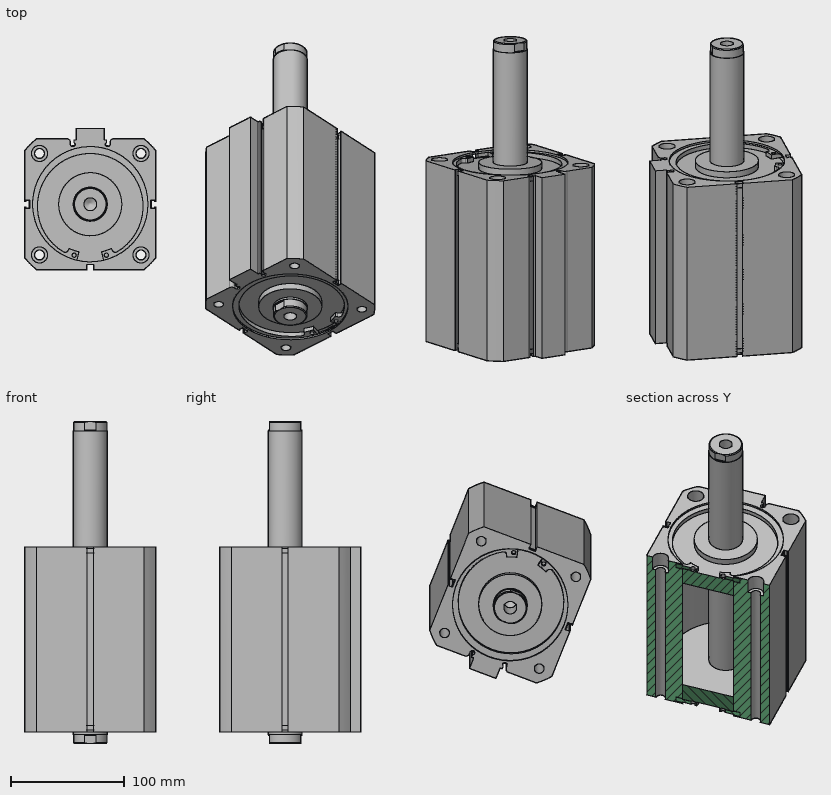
import cadquery as cq
import math


BODY_WIDTH = 115.0
BODY_LENGTH = 162.5
CORNER_RADIUS = 74.3
BORE_RADIUS = 50.5
OVERALL_DEPTH = 124.0
RAIL_HALF_WIDTH = 12.5
RAIL_FOOT_HALF_WIDTH = 14.5
RAIL_FOOT_TOP = 56.5
RAIL_FOOT_BASE = 54.2
RAIL_GROOVE_CENTER_X = 15.3
RAIL_GROOVE_CENTER_Y = 52.5
RAIL_GROOVE_RADIUS = 2.12
GROOVE_LIP_RADIUS = 3.0

SLOT_DEPTH = 4.5
FRONT_SLOT_WIDTH = 6.0
SIDE_SLOT_WIDTH = 6.8
SIDE_SLOT_MOUTH = 5.0
SIDE_SLOT_LIP = 1.0

MOUNT_PITCH = 89.0
MOUNT_HOLE_DIAMETER = 8.5
MOUNT_BORE_DIAMETER = 14.0
MOUNT_BORE_DEPTH = 14.0

RING_RECESS = 1.7
RING_THICKNESS = 4.0
RING_RADIUS = 53.7
RING_INNER_RADIUS = 46.3
RING_INNER_OFFSET = 1.85
RING_GAP_HALF_ANGLE = 13.4
LUG_OUTER_ANGLE = 25.5
LUG_INNER_RADIUS = 43.0
LUG_FILLET = 2.8
LUG_HOLE_ANGLE = 17.5
LUG_HOLE_PITCH_RADIUS = 47.0
LUG_HOLE_DIAMETER = 3.7

COLLAR_BOSS_RADIUS = 27.7
COLLAR_FLANGE_LENGTH = 17.0

ROD_RADIUS = 15.0
ROD_FRONT_REACH = 110.0
ROD_REAR_REACH = 10.2
ROD_CHAMFER = 0.8
ROD_END_RADIUS = 14.7
ROD_END_LENGTH = 8.2
FLAT_DISTANCE = 13.8
FLAT_LENGTH = 7.3
ROD_HOLE_RADIUS = 5.6
ROD_HOLE_DEPTH = 22.5
DRILL_POINT_ANGLE = 118.0

HALF_WIDTH = BODY_WIDTH / 2
HALF_LENGTH = BODY_LENGTH / 2
RAIL_TOP = OVERALL_DEPTH - HALF_WIDTH
SLOT_FLOOR = HALF_WIDTH - SLOT_DEPTH
CORNER_FLAT_END = math.sqrt(CORNER_RADIUS**2 - HALF_WIDTH**2)
CORNER_MID = CORNER_RADIUS * math.cos(math.pi / 4)
RING_TOP = HALF_LENGTH - RING_RECESS
RING_BOTTOM = RING_TOP - RING_THICKNESS


def at_rear(body):
    """Mirror a body from the front (+Z) end to the rear end."""
    return body.mirror("XY")


def polar_from_gap(radius, angle):
    """Point at an angle in degrees from the -Y direction, towards +X."""
    turn = math.radians(angle)
    return (radius * math.sin(turn), -radius * math.cos(turn))


def housing_blank():
    """Square with turned corners, extruded along the full length."""
    w, e, m = HALF_WIDTH, CORNER_FLAT_END, CORNER_MID
    return (
        cq.Workplane("XY", origin=(0, 0, -HALF_LENGTH))
        .moveTo(-e, -w)
        .lineTo(e, -w)
        .threePointArc((m, -m), (w, -e))
        .lineTo(w, e)
        .threePointArc((m, m), (e, w))
        .lineTo(-e, w)
        .threePointArc((-m, m), (-w, e))
        .lineTo(-w, -e)
        .threePointArc((-m, -m), (-e, -w))
        .close()
        .extrude(BODY_LENGTH)
    )


def rail():
    """Rectangular rail standing on the +Y side."""
    height = RAIL_TOP - RAIL_FOOT_BASE
    return cq.Workplane("XY").box(2 * RAIL_HALF_WIDTH, height, BODY_LENGTH).translate(
        (0, RAIL_TOP - height / 2, 0)
    )


def rail_groove():
    """Undercut groove beside the rail foot on the +X side."""
    inner = RAIL_GROOVE_CENTER_X - RAIL_GROOVE_RADIUS
    outer = RAIL_GROOVE_CENTER_X + RAIL_GROOVE_RADIUS
    lip_base = HALF_WIDTH - GROOVE_LIP_RADIUS
    lip_bulge = GROOVE_LIP_RADIUS * (1 - math.cos(math.pi / 4))
    return (
        cq.Workplane("XY", origin=(0, 0, -HALF_LENGTH))
        .moveTo(RAIL_HALF_WIDTH, HALF_WIDTH)
        .lineTo(RAIL_HALF_WIDTH, RAIL_FOOT_TOP)
        .lineTo(RAIL_FOOT_HALF_WIDTH, RAIL_FOOT_TOP)
        .lineTo(RAIL_FOOT_HALF_WIDTH, RAIL_FOOT_BASE)
        .lineTo(inner, RAIL_GROOVE_CENTER_Y)
        .threePointArc(
            (RAIL_GROOVE_CENTER_X, RAIL_GROOVE_CENTER_Y - RAIL_GROOVE_RADIUS),
            (outer, RAIL_GROOVE_CENTER_Y),
        )
        .lineTo(outer, lip_base)
        .threePointArc(
            (outer + lip_bulge, HALF_WIDTH - lip_bulge),
            (outer + GROOVE_LIP_RADIUS, HALF_WIDTH),
        )
        .close()
        .extrude(BODY_LENGTH)
    )


def slot(width, floor, top):
    """Full-length slot on the +X side, between two distances from the axis."""
    depth = top - floor
    return cq.Workplane("XY").box(depth, width, BODY_LENGTH).translate((floor + depth / 2, 0, 0))


def side_slot():
    """Slot on the +X side with a narrowed mouth."""
    mouth = slot(SIDE_SLOT_MOUTH, SLOT_FLOOR, HALF_WIDTH)
    return mouth.union(slot(SIDE_SLOT_WIDTH, SLOT_FLOOR, HALF_WIDTH - SIDE_SLOT_LIP))


def ring_groove():
    """Groove for the retaining ring at the front end."""
    return cq.Workplane("XY", origin=(0, 0, RING_BOTTOM)).circle(RING_RADIUS).extrude(RING_THICKNESS)


def make_housing():
    body = housing_blank().union(rail())
    body = body.cut(rail_groove()).cut(rail_groove().mirror("YZ"))
    body = body.cut(side_slot()).cut(side_slot().mirror("YZ"))
    front_slot = slot(FRONT_SLOT_WIDTH, SLOT_FLOOR, HALF_WIDTH)
    body = body.cut(front_slot.rotate((0, 0, 0), (0, 0, 1), -90))
    body = (
        body.faces(">Z")
        .workplane(origin=(0, 0, HALF_LENGTH))
        .rect(MOUNT_PITCH, MOUNT_PITCH, forConstruction=True)
        .vertices()
        .cboreHole(MOUNT_HOLE_DIAMETER, MOUNT_BORE_DIAMETER, MOUNT_BORE_DEPTH)
    )
    bore = cq.Workplane("XY").circle(BORE_RADIUS).extrude(HALF_LENGTH, both=True)
    return body.cut(bore).cut(ring_groove()).cut(at_rear(ring_groove()))


def gap_sector(half_angle, reach):
    """Wedge centred on -Y, as thick as the ring."""
    right = polar_from_gap(reach, half_angle)
    return (
        cq.Workplane("XY", origin=(0, 0, RING_BOTTOM))
        .polyline([(0, 0), right, (-right[0], right[1])])
        .close()
        .extrude(RING_THICKNESS)
    )


def make_ring():
    """Open ring with an eccentric inside and two drilled lugs beside the gap."""
    disc = ring_groove()
    plane = cq.Workplane("XY", origin=(0, 0, RING_BOTTOM))
    inside = plane.center(0, -RING_INNER_OFFSET).circle(RING_INNER_RADIUS).extrude(RING_THICKNESS)
    lug_inside = plane.circle(LUG_INNER_RADIUS).extrude(RING_THICKNESS)
    wedge_reach = 2 * RING_RADIUS
    lugs = disc.cut(lug_inside).intersect(gap_sector(LUG_OUTER_ANGLE, wedge_reach))
    ring = disc.cut(inside).union(lugs).cut(gap_sector(RING_GAP_HALF_ANGLE, wedge_reach))
    for side in (-1, 1):
        root = polar_from_gap(RING_INNER_RADIUS + RING_INNER_OFFSET, side * LUG_OUTER_ANGLE)
        root_edge = cq.NearestToPointSelector((*root, RING_TOP - RING_THICKNESS / 2))
        ring = ring.edges("|Z").edges(root_edge).fillet(LUG_FILLET)
    hole_points = [polar_from_gap(LUG_HOLE_PITCH_RADIUS, side * LUG_HOLE_ANGLE) for side in (-1, 1)]
    holes = plane.pushPoints(hole_points).circle(LUG_HOLE_DIAMETER / 2).extrude(RING_THICKNESS)
    return ring.cut(holes)


def make_collar():
    """Flange held under the ring, with a boss flush with the housing end."""
    flange_bottom = RING_BOTTOM - COLLAR_FLANGE_LENGTH
    plane = cq.Workplane("XY", origin=(0, 0, flange_bottom))
    flange = plane.circle(BORE_RADIUS).extrude(COLLAR_FLANGE_LENGTH)
    boss = plane.circle(COLLAR_BOSS_RADIUS).extrude(HALF_LENGTH - flange_bottom)
    rod_hole = plane.circle(ROD_RADIUS).extrude(HALF_LENGTH - flange_bottom)
    return flange.union(boss).cut(rod_hole)


def end_cutter(reach):
    """Two wrench flats and a drilled hole at the rod end at z = reach."""
    depth = ROD_RADIUS - FLAT_DISTANCE
    flat = cq.Workplane("XY").box(2 * ROD_RADIUS, depth, FLAT_LENGTH).translate(
        (0, FLAT_DISTANCE + depth / 2, reach - FLAT_LENGTH / 2)
    )
    point_depth = ROD_HOLE_RADIUS / math.tan(math.radians(DRILL_POINT_ANGLE / 2))
    hole = (
        cq.Workplane("XZ")
        .moveTo(0, reach)
        .lineTo(ROD_HOLE_RADIUS, reach)
        .lineTo(ROD_HOLE_RADIUS, reach - ROD_HOLE_DEPTH)
        .lineTo(0, reach - ROD_HOLE_DEPTH - point_depth)
        .close()
        .revolve(360, (0, 0, 0), (0, 1, 0))
    )
    return flat.union(flat.mirror("XZ")).union(hole)


def make_rod():
    """Round bar, slightly reduced at both ends."""
    front = HALF_LENGTH + ROD_FRONT_REACH
    rear = HALF_LENGTH + ROD_REAR_REACH
    shank_bottom = ROD_END_LENGTH - rear
    shank_length = front + rear - 2 * ROD_END_LENGTH
    shank = cq.Workplane("XY", origin=(0, 0, shank_bottom)).circle(ROD_RADIUS).extrude(shank_length)
    core = (
        cq.Workplane("XY", origin=(0, 0, -rear))
        .circle(ROD_END_RADIUS)
        .extrude(front + rear)
        .faces("<Z or >Z")
        .chamfer(ROD_CHAMFER)
    )
    bar = shank.union(core)
    return bar.cut(end_cutter(front)).cut(at_rear(end_cutter(rear)))


housing = make_housing()
rod = make_rod()
rings = []
collars = []
for end in ("front", "rear"):
    ring = make_ring()
    collar = make_collar()
    if end == "rear":
        ring = at_rear(ring)
        collar = at_rear(collar)
    rings.append(ring.val())
    collars.append(collar.val())

result = cq.Compound.makeCompound([housing.val(), rod.val(), *rings, *collars])